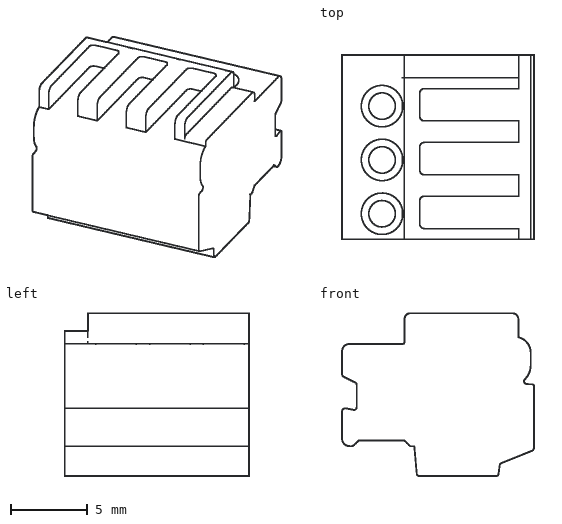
import cadquery as cq
import math

length = 12.5
width = 12.0
height = 10.6

block_left = 4.06
block_right = 11.49
block_round = 0.41
shelf_z = 8.6
shelf_round = 0.5
shelf_inner_round = 0.12

step_start_y = 10.5
step_z = 9.44
step_right_round = 0.2

slot_depth = 0.95
slot_top_z = 6.5
slot_top_round = 0.25
slot_inner_top_z = 6.04
slot_inner_top_round = 0.12
slot_inner_bottom_z = 4.28
slot_inner_bottom_round = 0.15
slot_bottom_z = 4.46
slot_bottom_round = 0.22

foot_z = 1.94
belly_z = 2.3
foot_round = 0.5
foot_right = 0.7
foot_right_round = 0.12
belly_left = 1.1
belly_right = 4.08
ledge_left = 4.44
plug_top_left = 4.7
plug_bottom_left = 4.88
plug_bottom_right = 10.18
plug_top_right = 10.29
plug_top_right_z = 0.8
plug_round = 0.15
plug_shoulder_round = 0.1

bulge_right = 12.29
bulge_start_z = 9.04
bulge_top_z = 8.82
bulge_top_round = 1.06
bulge_bottom_z = 6.74
bulge_bottom_round = 1.25
notch_x = 11.66
notch_z = 6.0
notch_round = 0.18
lower_wall_top_z = 5.98
lower_wall_top_round = 0.15
lower_wall_bottom_z = 1.69
lower_wall_bottom_round = 0.25

pole_count = 3
pole_pitch = step_start_y / pole_count
pole_ys = [pole_pitch * (i + 0.5) for i in range(pole_count)]

recess_x = 2.61
recess_y_offset = -0.09
recess_top_radius = 1.35
recess_floor_radius = 0.86
recess_depth = 0.5

pocket_left = 5.06
pocket_width = 2.1
pocket_round = 0.3

block_corners = [
    (0, shelf_z, shelf_round),
    (block_left, shelf_z, shelf_inner_round),
    (block_left, height, block_round),
    (block_right, height, block_round),
]
body_corners = [
    (block_right, bulge_start_z, 0),
    (bulge_right, bulge_top_z, bulge_top_round),
    (bulge_right, bulge_bottom_z, bulge_bottom_round),
    (notch_x, notch_z, notch_round),
    (length, lower_wall_top_z, lower_wall_top_round),
    (length, lower_wall_bottom_z, lower_wall_bottom_round),
    (plug_top_right, plug_top_right_z, plug_shoulder_round),
    (plug_bottom_right, 0, plug_round),
    (plug_bottom_left, 0, plug_round),
    (plug_top_left, foot_z, 0),
    (ledge_left, foot_z, 0),
    (belly_right, belly_z, 0),
    (belly_left, belly_z, 0),
    (foot_right, foot_z, foot_right_round),
    (0, foot_z, foot_round),
    (0, slot_bottom_z, slot_bottom_round),
    (slot_depth, slot_inner_bottom_z, slot_inner_bottom_round),
    (slot_depth, slot_inner_top_z, slot_inner_top_round),
    (0, slot_top_z, slot_top_round),
]


def rounded_outline(corners):
    """Closed XZ wire through the corners, each replaced by a tangent arc of its radius."""
    edges = []
    spans = []
    for i, (x, z, radius) in enumerate(corners):
        corner = cq.Vector(x, 0, z)
        before = cq.Vector(corners[i - 1][0], 0, corners[i - 1][1])
        after_x, after_z, _ = corners[(i + 1) % len(corners)]
        after = cq.Vector(after_x, 0, after_z)
        to_before = (before - corner).normalized()
        to_after = (after - corner).normalized()
        half_angle = to_before.getAngle(to_after) / 2
        setback = radius / math.tan(half_angle)
        start = corner + to_before * setback
        end = corner + to_after * setback
        if radius > 0:
            bisector = (to_before + to_after).normalized()
            middle = corner + bisector * (radius / math.sin(half_angle) - radius)
            edges.append(cq.Edge.makeThreePointArc(start, middle, end))
        spans.append((start, end))
    for i, (start, _) in enumerate(spans):
        edges.append(cq.Edge.makeLine(spans[i - 1][1], start))
    return cq.Wire.combine(edges)[0]


def extrude_along_y(corners, start_y, end_y):
    wire = rounded_outline(corners)
    solid = cq.Solid.extrudeLinear(wire, [], cq.Vector(0, end_y - start_y, 0))
    return cq.Workplane(solid.translate(cq.Vector(0, start_y, 0)))


def back_step_body():
    """The same profile behind the step, with the upper block lowered."""
    lowered_corners = [
        (0, shelf_z, shelf_round),
        (block_left, shelf_z, 0),
        (block_left, step_z, block_round),
        (block_right, step_z, step_right_round),
    ]
    corners = lowered_corners + body_corners
    return extrude_along_y(corners, step_start_y, width)


def screw_recess(y):
    cone = cq.Solid.makeCone(
        recess_floor_radius,
        recess_top_radius,
        recess_depth,
        pnt=cq.Vector(recess_x, y, shelf_z - recess_depth),
    )
    return cq.Workplane(cone)


def pocket(y):
    pocket_length = length - pocket_left
    pocket_depth = height - bulge_start_z
    return (
        cq.Workplane("XY", origin=(pocket_left, y, bulge_start_z))
        .box(pocket_length, pocket_width, pocket_depth, centered=(False, True, False))
        .edges("|Z and <X")
        .fillet(pocket_round)
    )


result = extrude_along_y(block_corners + body_corners, 0, step_start_y).union(back_step_body())
for pole_y in pole_ys:
    result = result.cut(screw_recess(pole_y + recess_y_offset)).cut(pocket(pole_y))